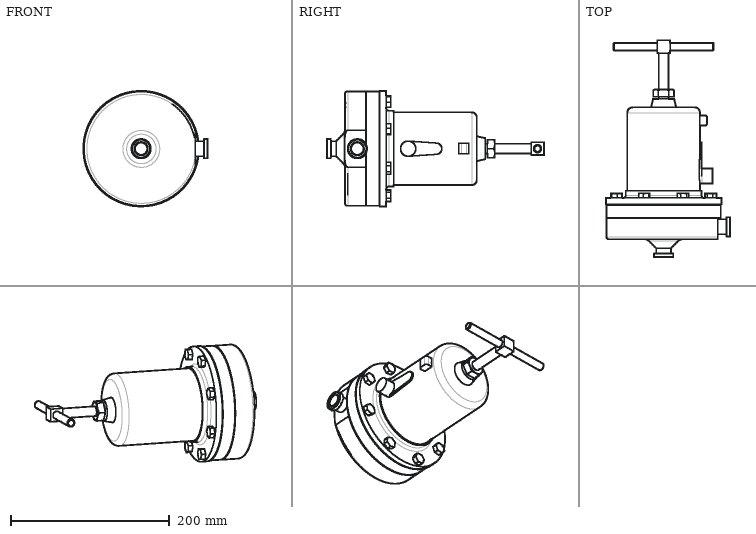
import cadquery as cq
import math


ferrule_thickness = 4.7
outlet_neck_top = 11.5
base_bottom = 22.5
base_top = 49.0
joint_groove_width = 0.8
ring_bottom = base_top + joint_groove_width
ring_top = 65.7
flange_bottom = ring_top + joint_groove_width
flange_top = 74.7
collar_top = 84.0
bonnet_top = 189.0
boss_top = 199.7
nut_bottom = 202.2
nut_top = 211.5
overall_length = 273.5

base_radius = 72.2
base_edge_fillet = 3.5
base_flat_x = 68.5
neck_radius = 9.5
ferrule_radius = 12.3
ferrule_chamfer = 0.5
port_bore_radius = 7.7
gasket_groove_radius = 9.9
gasket_groove_section = 1.5
outlet_cone_radius = 18.5
outlet_root_radius = 23.3
outlet_cone_angle = 45
side_port_y = 38.3
side_port_tip_x = 84.0

ring_radius = base_radius
joint_groove_depth = 0.3

flange_radius = 73.0
collar_radius = 48.0
collar_root_fillet = 3.3
bonnet_radius = 46.0
bonnet_edge_fillet = 6.8
boss_bottom_radius = 16.0
boss_top_radius = 13.5

bolt_count = 8
bolt_circle_radius = 64.3
bolt_head_flats = 12.9
bolt_head_height = 5.7
bolt_first_angle = 180 / bolt_count
bolt_corner_offset = 45

plug_width = 13.0
plug_y = 172.5
plug_tip_x = 55.0
plug_corner_fillet = 3.3
vent_radius = 9.5
vent_y = 102.3
vent_tip_x = 61.8
pad_x = 48.0
pad_top = 144.8
pad_top_radius = 7.0

screw_radius = 6.3
nut_flats = 23.0
nut_bevel_height = 1.0
nut_bevel_width = 2.0
handle_block_size = 16.5
handle_radius = 5.0
handle_length = 126.5
handle_chamfer = 1.0

hex_corner_ratio = 2 / math.sqrt(3)


def cylinder_along_y(radius, bottom, top):
    return cq.Workplane("XZ", origin=(0, bottom, 0)).circle(radius).extrude(bottom - top)


def cylinder_along_x(radius, y, start, end):
    return cq.Workplane("YZ", origin=(start, y, 0)).circle(radius).extrude(end - start)


def hex_along_y(across_flats, bottom, top):
    """Hexagonal prism on the Y axis with two corners on the X axis."""
    corner_diameter = across_flats * hex_corner_ratio
    return cq.Workplane("XZ", origin=(0, bottom, 0)).polygon(6, corner_diameter).extrude(bottom - top)


def make_outlet():
    """Lower port: ferrule, neck and a cone that blends into the base."""
    cone_angle = math.radians(outlet_cone_angle)
    blend_width = outlet_root_radius - outlet_cone_radius
    blend_radius = blend_width / math.sin(cone_angle)
    blend_drop = blend_radius * (1 - math.cos(cone_angle))
    return (
        cq.Workplane("XY")
        .moveTo(0, 0)
        .lineTo(ferrule_radius, 0)
        .lineTo(ferrule_radius, ferrule_thickness)
        .lineTo(neck_radius, ferrule_thickness + ferrule_chamfer)
        .lineTo(neck_radius, outlet_neck_top)
        .lineTo(outlet_cone_radius, base_bottom - blend_drop)
        .radiusArc((outlet_root_radius, base_bottom), blend_radius)
        .lineTo(0, base_bottom)
        .close()
        .revolve(360, (0, 0), (0, 1))
    )


def make_side_port():
    ferrule_back_x = side_port_tip_x - ferrule_thickness
    return (
        cq.Workplane("XY", origin=(0, side_port_y, 0))
        .moveTo(base_flat_x, 0)
        .lineTo(base_flat_x, neck_radius)
        .lineTo(ferrule_back_x - ferrule_chamfer, neck_radius)
        .lineTo(ferrule_back_x, ferrule_radius)
        .lineTo(side_port_tip_x, ferrule_radius)
        .lineTo(side_port_tip_x, 0)
        .close()
        .revolve(360, (0, 0), (1, 0))
    )


def make_gasket_groove():
    """Torus in the XZ plane that cuts a half-round groove into a ferrule face."""
    y_axis = cq.Vector(0, 1, 0)
    torus = cq.Solid.makeTorus(gasket_groove_radius, gasket_groove_section, dir=y_axis)
    return cq.Workplane(torus)


def make_base():
    """Drum with one flat side, an outlet port below and a ferrule port on the flat."""
    drum = cylinder_along_y(base_radius, base_bottom, base_top)
    drum = drum.faces("<Y").edges().fillet(base_edge_fillet)
    beyond_flat = cq.Workplane("XY").box(
        base_radius, 2 * overall_length, 2 * base_radius, centered=(False, True, True)
    )
    drum = drum.cut(beyond_flat.translate((base_flat_x, 0, 0)))
    outlet_bore = cylinder_along_y(port_bore_radius, 0, base_bottom)
    side_bore = cylinder_along_x(port_bore_radius, side_port_y, base_flat_x, side_port_tip_x)
    groove = make_gasket_groove()
    side_groove = groove.rotate((0, 0, 0), (0, 0, 1), 90).translate((side_port_tip_x, side_port_y, 0))
    base = drum.union(make_outlet()).union(make_side_port())
    return base.cut(outlet_bore).cut(side_bore).cut(groove).cut(side_groove)


def make_ring():
    """Intermediate ring whose narrow end lands leave a fine groove at each joint."""
    land = cylinder_along_y(ring_radius - joint_groove_depth, base_top, flange_bottom)
    return cylinder_along_y(ring_radius, ring_bottom, ring_top).union(land)


def make_bonnet_shell():
    shell = cylinder_along_y(bonnet_radius, flange_top, bonnet_top)
    shell = shell.faces(">Y").edges().fillet(bonnet_edge_fillet)
    flange_and_collar = (
        cq.Workplane("XY")
        .moveTo(0, flange_bottom)
        .lineTo(flange_radius, flange_bottom)
        .lineTo(flange_radius, flange_top)
        .lineTo(collar_radius + collar_root_fillet, flange_top)
        .radiusArc((collar_radius, flange_top + collar_root_fillet), collar_root_fillet)
        .lineTo(collar_radius, collar_top)
        .lineTo(0, collar_top)
        .close()
        .revolve(360, (0, 0), (0, 1))
    )
    boss = (
        cq.Workplane("XY")
        .moveTo(0, bonnet_top)
        .lineTo(boss_bottom_radius, bonnet_top)
        .lineTo(boss_top_radius, boss_top)
        .lineTo(0, boss_top)
        .close()
        .revolve(360, (0, 0), (0, 1))
    )
    return shell.union(flange_and_collar).union(boss)


def make_plug():
    """Square head with its two outer edges rounded."""
    head = cq.Workplane("XY").box(plug_tip_x, plug_width, plug_width, centered=(False, True, True))
    head = head.faces(">X").edges("|Z").fillet(plug_corner_fillet)
    return head.translate((0, plug_y, 0))


def make_vent_pad():
    """Raised pad around the vent, tapering to a smaller round end above it."""
    top_centre = pad_top - pad_top_radius
    tilt_sine = (vent_radius - pad_top_radius) / (top_centre - vent_y)
    tilt_cosine = math.sqrt(1 - tilt_sine**2)
    low_z = vent_radius * tilt_cosine
    low_y = vent_y + vent_radius * tilt_sine
    high_z = pad_top_radius * tilt_cosine
    high_y = top_centre + pad_top_radius * tilt_sine
    return (
        cq.Workplane("YZ")
        .moveTo(low_y, low_z)
        .lineTo(high_y, high_z)
        .threePointArc((pad_top, 0), (high_y, -high_z))
        .lineTo(low_y, -low_z)
        .threePointArc((vent_y - vent_radius, 0), (low_y, low_z))
        .close()
        .extrude(pad_x)
    )


def make_bonnet_fittings():
    vent = cylinder_along_x(vent_radius, vent_y, 0, vent_tip_x)
    return make_plug().union(vent).union(make_vent_pad())


def make_bolt_heads():
    heads = cq.Workplane("XY")
    for index in range(bolt_count):
        angle = bolt_first_angle + index * 360 / bolt_count
        head = hex_along_y(bolt_head_flats, flange_top, flange_top + bolt_head_height)
        head = head.rotate((0, 0, 0), (0, 1, 0), -bolt_corner_offset)
        head = head.translate((bolt_circle_radius, 0, 0))
        heads = heads.add(head.rotate((0, 0, 0), (0, 1, 0), -angle))
    return heads


def make_screw_and_handle():
    screw = cylinder_along_y(screw_radius, bonnet_top, overall_length - handle_block_size)
    nut_corner_radius = nut_flats * hex_corner_ratio / 2
    nut_bevel = cylinder_along_y(nut_corner_radius, nut_bottom, nut_top)
    nut_bevel = nut_bevel.faces(">Y").edges().chamfer(nut_bevel_height, nut_bevel_width)
    nut = hex_along_y(nut_flats, nut_bottom, nut_top).intersect(nut_bevel)
    handle_y = overall_length - handle_block_size / 2
    block = cq.Workplane("XY", origin=(0, handle_y, 0)).box(
        handle_block_size, handle_block_size, handle_block_size
    )
    handle = cylinder_along_x(handle_radius, handle_y, -handle_length / 2, handle_length / 2)
    handle = handle.faces("<X or >X").edges().chamfer(handle_chamfer)
    return screw.union(nut).union(block).union(handle)


def make_bonnet():
    """Bonnet with its fittings, bolt heads, screw and handle as one solid."""
    bonnet = make_bonnet_shell().union(make_bonnet_fittings()).union(make_screw_and_handle())
    for head in make_bolt_heads().vals():
        bonnet = bonnet.union(cq.Workplane(head))
    return bonnet


base = make_base()
ring = make_ring()
bonnet = make_bonnet()

result = cq.Compound.makeCompound([base.val(), ring.val(), bonnet.val()])